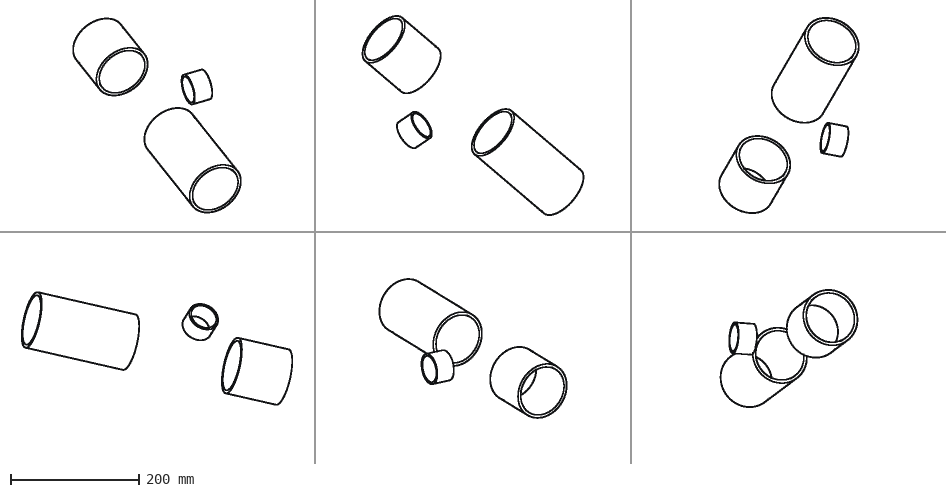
import cadquery as cq

overall_length = 418.0
overall_depth = 147.5

pipe_diameter = 89.0
pipe_wall = 5.0
short_pipe_length = 84.0
long_pipe_length = 162.5

sleeve_diameter = 48.5
sleeve_wall = 3.5
sleeve_length = 30.0
sleeve_center_x = 170.0

long_pipe_start = overall_length - long_pipe_length
sleeve_back_y = overall_depth - pipe_diameter / 2


def make_tube(plane, outer_diameter, wall, length):
    """Hollow cylinder that starts at the plane and runs along its normal."""
    inner_diameter = outer_diameter - 2 * wall
    return (
        cq.Workplane(plane)
        .circle(outer_diameter / 2)
        .circle(inner_diameter / 2)
        .extrude(length)
    )


def make_pipe(start_x, length):
    """Pipe along +X that starts at start_x."""
    plane = cq.Plane(origin=(start_x, 0, 0), xDir=(0, 1, 0), normal=(1, 0, 0))
    return make_tube(plane, pipe_diameter, pipe_wall, length)


def make_sleeve():
    """Small sleeve across the pipes, running along -Y from its back face."""
    plane = cq.Plane(origin=(sleeve_center_x, sleeve_back_y, 0), xDir=(1, 0, 0), normal=(0, -1, 0))
    return make_tube(plane, sleeve_diameter, sleeve_wall, sleeve_length)


short_pipe = make_pipe(0, short_pipe_length)
long_pipe = make_pipe(long_pipe_start, long_pipe_length)
sleeve = make_sleeve()

result = cq.Compound.makeCompound([short_pipe.val(), long_pipe.val(), sleeve.val()])